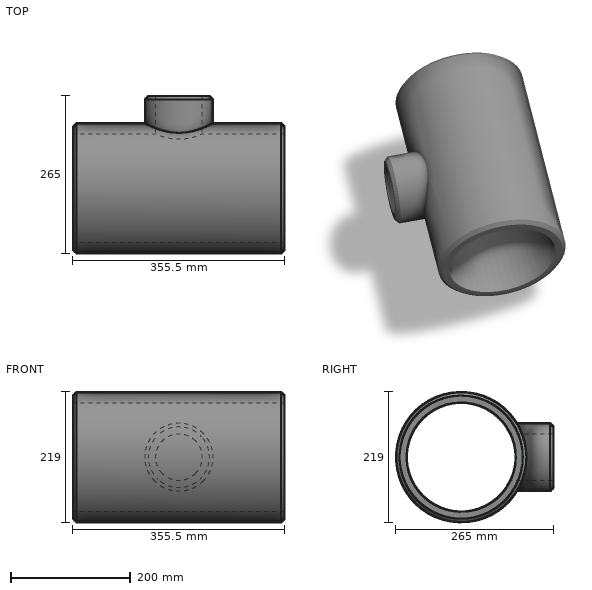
import cadquery as cq

run_length = 355.5
run_diameter = 219.0
wall = 18.0
branch_diameter = 114.5
branch_reach = 155.5
end_chamfer = 6.0


def cylinder_along_x(diameter):
    return cq.Workplane("YZ").circle(diameter / 2).extrude(run_length / 2, both=True)


def cylinder_along_y(diameter):
    return cq.Workplane("XZ").circle(diameter / 2).extrude(-branch_reach)


run = cylinder_along_x(run_diameter).faces("<X or >X").chamfer(end_chamfer)
branch = cylinder_along_y(branch_diameter).faces(">Y").chamfer(end_chamfer)

run_bore = cylinder_along_x(run_diameter - 2 * wall)
branch_bore = cylinder_along_y(branch_diameter - 2 * wall)

result = run.union(branch).cut(run_bore).cut(branch_bore)